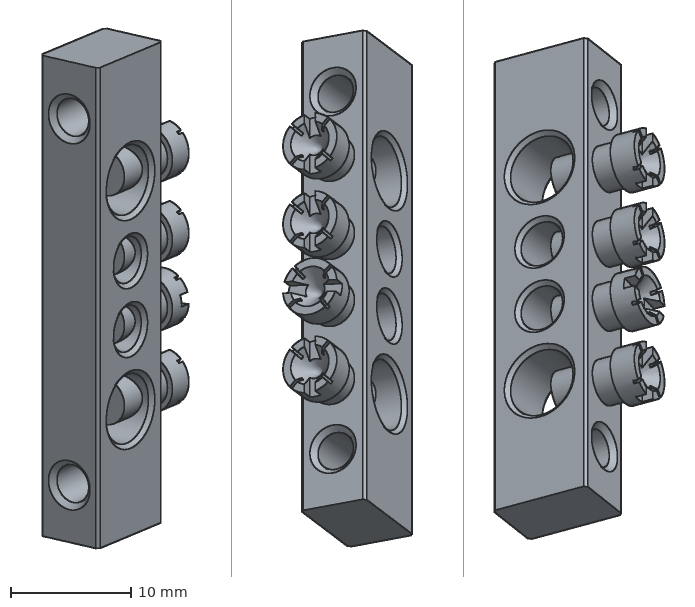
import cadquery as cq

BLOCK_WIDTH = 6.0
BLOCK_DEPTH = 9.0
BLOCK_HEIGHT = 42.0
EDGE_CHAMFER = 0.25

MOUNT_DIAMETER = 3.28
MOUNT_CHAMFER = 0.5
MOUNT_SPACING = 32.0

LARGE_WIRE_DIAMETER = 6.0
SMALL_WIRE_DIAMETER = 4.0
WIRE_CHAMFER = 0.38
WIRE_AXIS_Y = BLOCK_DEPTH / 2
LARGE_WIRE_SPACING = 20.0
SMALL_WIRE_SPACING = 6.0

SHANK_DIAMETER = 4.0
HEAD_DIAMETER = 5.0
HEAD_LENGTH = 2.3
HEAD_TOP_Y = 13.3
SCREW_TIP_Y = 5.0
SLOT_WIDTH = 1.0
SLOT_DEPTH = 1.0
MARK_WIDTH = 0.25
MARK_DEPTH = 0.5
MARK_ANGLES = (45, -45)
RECESS_DIAMETER = 3.53
RECESS_DEPTH = 2.0
TURNED_SLOT_ANGLE = 82

STATIONS = [
    (LARGE_WIRE_SPACING / 2, LARGE_WIRE_DIAMETER, 0),
    (SMALL_WIRE_SPACING / 2, SMALL_WIRE_DIAMETER, 0),
    (-SMALL_WIRE_SPACING / 2, SMALL_WIRE_DIAMETER, TURNED_SLOT_ANGLE),
    (-LARGE_WIRE_SPACING / 2, LARGE_WIRE_DIAMETER, 0),
]


def cylinder_along_y(diameter, y_start, y_end, z=0):
    """Cylinder parallel to Y in the plane X = 0, from y_start up to y_end."""
    plane = cq.Plane(origin=(0, y_start, z), xDir=(1, 0, 0), normal=(0, 1, 0))
    return cq.Workplane(plane).circle(diameter / 2).extrude(y_end - y_start)


def chamfered_hole(plane, length, diameter, chamfer):
    """Cutter for a through hole of the given length, widened by a 45 degree chamfer at both ends."""
    cutter = cq.Workplane(plane).circle(diameter / 2).extrude(length)
    near_end = cq.Workplane(plane).circle(diameter / 2 + chamfer).extrude(chamfer, taper=45)
    far_end = near_end.mirror(plane.zDir, plane.origin).translate(plane.zDir * length)
    return cutter.union(near_end).union(far_end)


def make_block():
    block = cq.Workplane("XY").box(BLOCK_WIDTH, BLOCK_DEPTH, BLOCK_HEIGHT)
    block = block.edges("|Z").chamfer(EDGE_CHAMFER).translate((0, BLOCK_DEPTH / 2, 0))

    for z in (-MOUNT_SPACING / 2, MOUNT_SPACING / 2):
        plane = cq.Plane(origin=(0, 0, z), xDir=(1, 0, 0), normal=(0, 1, 0))
        block = block.cut(chamfered_hole(plane, BLOCK_DEPTH, MOUNT_DIAMETER, MOUNT_CHAMFER))

    for z, wire_diameter, _ in STATIONS:
        plane = cq.Plane(origin=(-BLOCK_WIDTH / 2, WIRE_AXIS_Y, z), xDir=(0, 1, 0), normal=(1, 0, 0))
        block = block.cut(chamfered_hole(plane, BLOCK_WIDTH, wire_diameter, WIRE_CHAMFER))
        block = block.cut(cylinder_along_y(SHANK_DIAMETER, SCREW_TIP_Y, BLOCK_DEPTH, z))
    return block


def head_groove(width, depth, angle):
    """Cutter for a straight groove across the head, turned by angle about the screw axis."""
    groove = cq.Workplane("XY").box(width, depth, HEAD_DIAMETER)
    groove = groove.translate((0, HEAD_TOP_Y - depth / 2, 0))
    return groove.rotate((0, 0, 0), (0, 1, 0), angle)


def driver_recess():
    """Conical cutter, widest at the head face and pointed at its bottom."""
    head_face_centre = cq.Vector(0, HEAD_TOP_Y, 0)
    cone = cq.Solid.makeCone(RECESS_DIAMETER / 2, 0, RECESS_DEPTH, head_face_centre, cq.Vector(0, -1, 0))
    return cq.Workplane(cone)


def make_screw(z, slot_angle):
    screw = cylinder_along_y(SHANK_DIAMETER, SCREW_TIP_Y, HEAD_TOP_Y)
    screw = screw.union(cylinder_along_y(HEAD_DIAMETER, HEAD_TOP_Y - HEAD_LENGTH, HEAD_TOP_Y))
    screw = screw.cut(head_groove(SLOT_WIDTH, SLOT_DEPTH, 0))
    for angle in MARK_ANGLES:
        screw = screw.cut(head_groove(MARK_WIDTH, MARK_DEPTH, angle))
    screw = screw.cut(driver_recess())
    return screw.rotate((0, 0, 0), (0, 1, 0), slot_angle).translate((0, 0, z))


block = make_block()
screws = [make_screw(z, slot_angle) for z, _, slot_angle in STATIONS]

result = cq.Compound.makeCompound([block.val(), *[screw.val() for screw in screws]])